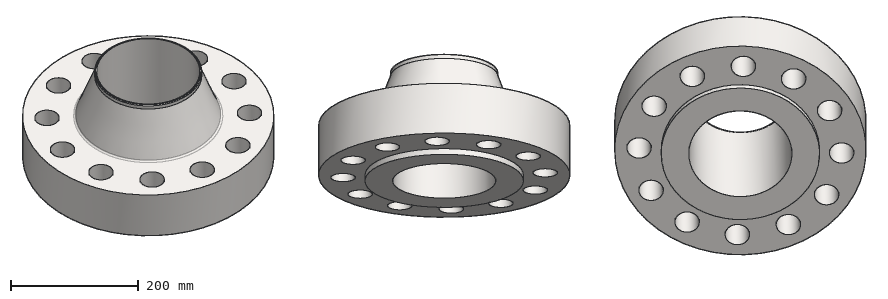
import cadquery as cq
import math

flange_diameter = 393.5
total_height = 181.0
flange_thickness = 82.5

face_diameter = 248.0
face_height = 9.5

neck_base_diameter = 228.5
neck_end_diameter = 168.0
neck_end_length = 7.5
neck_fillet = 3.5
bevel_width = 1.5
bevel_height = 1.0
bore_diameter = 161.5

bolt_count = 12
bolt_hole_diameter = 38.0
bolt_circle_diameter = 317.2

flange_top = face_height + flange_thickness
taper_top = total_height - neck_end_length
bevel_bottom = total_height - bevel_height


def make_body():
    """Revolve the solid outline of the raised face, flange and neck about Z."""
    flange_radius = flange_diameter / 2
    face_radius = face_diameter / 2
    neck_base_radius = neck_base_diameter / 2
    neck_end_radius = neck_end_diameter / 2

    taper_angle = math.atan2(neck_base_radius - neck_end_radius, taper_top - flange_top)
    corner_angle = math.pi / 2 + taper_angle
    tangent_length = neck_fillet / math.tan(corner_angle / 2)
    fillet_outer_radius = neck_base_radius + tangent_length
    fillet_inner_radius = neck_base_radius - tangent_length * math.sin(taper_angle)
    fillet_top = flange_top + tangent_length * math.cos(taper_angle)

    return (
        cq.Workplane("XZ")
        .lineTo(face_radius, 0)
        .lineTo(face_radius, face_height)
        .lineTo(flange_radius, face_height)
        .lineTo(flange_radius, flange_top)
        .lineTo(fillet_outer_radius, flange_top)
        .radiusArc((fillet_inner_radius, fillet_top), neck_fillet)
        .lineTo(neck_end_radius, taper_top)
        .lineTo(neck_end_radius, bevel_bottom)
        .lineTo(neck_end_radius - bevel_width, total_height)
        .lineTo(0, total_height)
        .close()
        .revolve(360, (0, 0, 0), (0, 1, 0))
    )


def make_bore():
    """Straight bore through the full height."""
    return cq.Workplane("XY").circle(bore_diameter / 2).extrude(total_height)


def make_bolt_holes():
    """Equally spaced through holes, the first one on the X axis."""
    return (
        cq.Workplane("XY")
        .polarArray(bolt_circle_diameter / 2, 0, 360, bolt_count)
        .circle(bolt_hole_diameter / 2)
        .extrude(flange_top)
    )


result = make_body().cut(make_bore()).cut(make_bolt_holes())